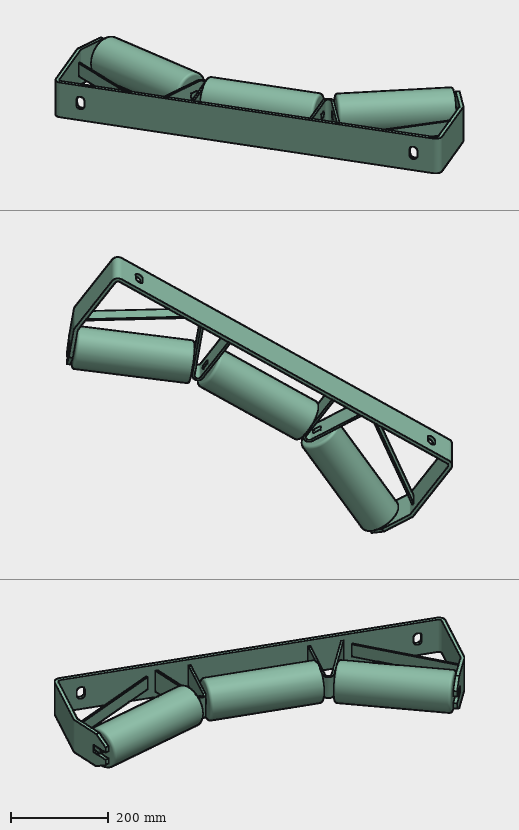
import cadquery as cq
import math

TILT = 25.0
SIN_TILT = math.sin(math.radians(TILT))
COS_TILT = math.cos(math.radians(TILT))

FRAME_LENGTH = 830.0
FRAME_HEIGHT = 80.0
FRAME_THICKNESS = 8.0
FRAME_BEND_RADIUS = 14.0
ARM_REACH = 29.0
TIP_SETBACK = 29.0
TIP_DROP = 18.0

MOUNT_SPACING = 715.5
MOUNT_WIDTH = 17.5
MOUNT_LENGTH = 28.0

ROLLER_DIAMETER = 89.0
ROLLER_LENGTH = 242.0
ROLLER_EDGE_RADIUS = 6.0
SHAFT_DIAMETER = 20.0
SHAFT_FLAT_WIDTH = 12.5
SHAFT_GAP = 3.0
SHAFT_SLOT_WIDTH = 17.5
SLOT_CORNER_RADIUS = 2.5

MIDDLE_AXIS_Y = 101.0
WING_AXIS_OFFSET = 35.0

BRACKET_THICKNESS = 5.0
BRACKET_BEND_RADIUS = 12.0
BRACKET_ARCH_Y = 118.0
BRACKET_HEIGHT = 51.5

BRACE_SLOPE = 35.2
BRACE_THICKNESS = 4.0
BRACE_HEIGHT = 30.0
BRACE_FOOT_X = -218.0

SUPPORT_DISTANCE = ROLLER_LENGTH / 2 + SHAFT_GAP
ARCH_X = -(SUPPORT_DISTANCE + BRACKET_BEND_RADIUS)
LEG_AXIAL = -ARCH_X * COS_TILT + BRACKET_ARCH_Y * SIN_TILT + BRACKET_BEND_RADIUS
WING_AXIAL = LEG_AXIAL + SUPPORT_DISTANCE
ARM_INNER_AXIAL = WING_AXIAL + SUPPORT_DISTANCE
ARM_OUTER_AXIAL = ARM_INNER_AXIAL + FRAME_THICKNESS


def wing_point(axial, lateral):
    """Point given along and square to the left wing roller's slope."""
    x = -axial * COS_TILT + lateral * SIN_TILT
    y = axial * SIN_TILT + lateral * COS_TILT
    return (x, y)


def wing_plane(axial):
    """Plane square to the left wing axis: local x runs up the arm, local y is vertical."""
    x, y = wing_point(axial, WING_AXIS_OFFSET)
    return cq.Plane(
        origin=(x, y, 0),
        xDir=(SIN_TILT, COS_TILT, 0),
        normal=(-COS_TILT, SIN_TILT, 0),
    )


def middle_plane(x):
    """Plane square to the middle axis: local x runs up the leg, local y is vertical."""
    return cq.Plane(origin=(x, MIDDLE_AXIS_Y, 0), xDir=(0, 1, 0), normal=(-1, 0, 0))


def elbow_point(x, axial):
    """Where a side wall at x meets the arm face at the given axial distance."""
    return (x, (axial + x * COS_TILT) / SIN_TILT)


def shaft_slot(plane, depth):
    """Slot that opens at the local +x end and seats the shaft."""
    seat = -SHAFT_DIAMETER / 2
    run = ROLLER_DIAMETER
    return (
        cq.Workplane(plane)
        .center(seat + run / 2, 0)
        .sketch()
        .rect(run, SHAFT_SLOT_WIDTH)
        .vertices("<X")
        .fillet(SLOT_CORNER_RADIUS)
        .finalize()
        .extrude(depth)
    )


def tip_corners():
    """Two wedges that trim the corners of the left arm tip."""
    half = FRAME_HEIGHT / 2
    wedges = cq.Workplane(wing_plane(ARM_INNER_AXIAL))
    for side in (1, -1):
        wedges = wedges.polyline([
            (ARM_REACH, side * half),
            (ARM_REACH - TIP_SETBACK, side * half),
            (ARM_REACH, side * (half - TIP_DROP)),
        ]).close()
    return wedges.extrude(FRAME_THICKNESS)


def make_frame():
    outer_x = -FRAME_LENGTH / 2
    inner_x = outer_x + FRAME_THICKNESS
    tip_lateral = WING_AXIS_OFFSET + ARM_REACH
    outer_corner = (outer_x, 0)
    inner_corner = (inner_x, FRAME_THICKNESS)
    outer_elbow = elbow_point(outer_x, ARM_OUTER_AXIAL)
    inner_elbow = elbow_point(inner_x, ARM_INNER_AXIAL)
    half = (
        cq.Workplane("XY")
        .polyline([
            (0, 0),
            outer_corner,
            outer_elbow,
            wing_point(ARM_OUTER_AXIAL, tip_lateral),
            wing_point(ARM_INNER_AXIAL, tip_lateral),
            inner_elbow,
            inner_corner,
            (0, FRAME_THICKNESS),
        ])
        .close()
        .extrude(FRAME_HEIGHT / 2, both=True)
    )
    bends = (
        (outer_corner, FRAME_BEND_RADIUS),
        (outer_elbow, FRAME_BEND_RADIUS),
        (inner_corner, FRAME_BEND_RADIUS - FRAME_THICKNESS),
        (inner_elbow, FRAME_BEND_RADIUS - FRAME_THICKNESS),
    )
    for (x, y), radius in bends:
        half = half.edges("|Z").edges(cq.NearestToPointSelector((x, y, 0))).fillet(radius)

    half = half.cut(tip_corners())
    half = half.cut(shaft_slot(wing_plane(ARM_INNER_AXIAL), FRAME_THICKNESS))
    mount = (
        cq.Workplane("XZ")
        .center(-MOUNT_SPACING / 2, 0)
        .slot2D(MOUNT_LENGTH, MOUNT_WIDTH, 90)
        .extrude(-FRAME_THICKNESS)
    )
    half = half.cut(mount)
    return half.union(half.mirror("YZ"))


def make_roller(plane):
    """Roller with a fixed shaft, flattened top and bottom to sit in its supports."""
    def bar(half_length):
        return cq.Workplane(plane).workplane(offset=-half_length)

    shaft_half = SUPPORT_DISTANCE + BRACKET_THICKNESS
    shaft_radius = SHAFT_DIAMETER / 2
    drum_half = ROLLER_LENGTH / 2
    drum = (
        bar(drum_half)
        .circle(ROLLER_DIAMETER / 2)
        .extrude(2 * drum_half)
        .edges("%CIRCLE")
        .fillet(ROLLER_EDGE_RADIUS)
    )
    flats = bar(shaft_half).rect(SHAFT_DIAMETER, SHAFT_FLAT_WIDTH).extrude(2 * shaft_half)
    shaft = bar(shaft_half).circle(shaft_radius).extrude(2 * shaft_half).intersect(flats)
    return drum.union(shaft)


def make_bracket():
    """Bent strip standing on the frame base between the left and middle rollers."""
    inner_radius = BRACKET_BEND_RADIUS - BRACKET_THICKNESS
    base_y = FRAME_THICKNESS
    arch_x, arch_y = ARCH_X, BRACKET_ARCH_Y
    lean = (arch_y - base_y) * SIN_TILT / COS_TILT

    def strip_side(radius):
        leg_foot = (arch_x + radius, base_y)
        leg_top = (arch_x + radius, arch_y)
        bisector = math.radians((180 - TILT) / 2)
        crown = (arch_x + radius * math.cos(bisector), arch_y + radius * math.sin(bisector))
        slant_top = (arch_x - radius * COS_TILT, arch_y + radius * SIN_TILT)
        slant_foot = (arch_x - lean - radius / COS_TILT, base_y)
        return leg_foot, leg_top, crown, slant_top, slant_foot

    outer = strip_side(BRACKET_BEND_RADIUS)
    inner = strip_side(inner_radius)
    strip = (
        cq.Workplane("XY")
        .moveTo(*outer[0])
        .lineTo(*outer[1])
        .threePointArc(outer[2], outer[3])
        .lineTo(*outer[4])
        .lineTo(*inner[4])
        .lineTo(*inner[3])
        .threePointArc(inner[2], inner[1])
        .lineTo(*inner[0])
        .close()
        .extrude(BRACKET_HEIGHT / 2, both=True)
    )
    return strip


def make_brace():
    """Flat bar from the frame base up to the left side wall."""
    slope = math.radians(BRACE_SLOPE)
    foot_y = FRAME_THICKNESS + BRACE_THICKNESS / 2 * math.cos(slope)
    wall_x = -FRAME_LENGTH / 2 + FRAME_THICKNESS
    length = FRAME_LENGTH / 2
    bar = (
        cq.Workplane("XY")
        .box(length, BRACE_THICKNESS, BRACE_HEIGHT, centered=(False, True, True))
        .rotate((0, 0, 0), (0, 0, 1), 180 - BRACE_SLOPE)
        .translate((BRACE_FOOT_X, foot_y, 0))
    )
    inside = cq.Workplane("XY").box(
        -wall_x, FRAME_LENGTH, FRAME_HEIGHT, centered=(False, True, True)
    ).translate((wall_x, 0, 0))
    return bar.intersect(inside)


frame = make_frame()
left_roller = make_roller(wing_plane(WING_AXIAL))
middle_roller = make_roller(middle_plane(0))
left_bracket = make_bracket().cut(left_roller).cut(middle_roller)
left_brace = make_brace()
bodies = [frame.val(), middle_roller.val()]
for left_body in (left_roller, left_bracket, left_brace):
    bodies.append(left_body.val())
    bodies.append(left_body.mirror("YZ").val())

result = cq.Compound.makeCompound(bodies)